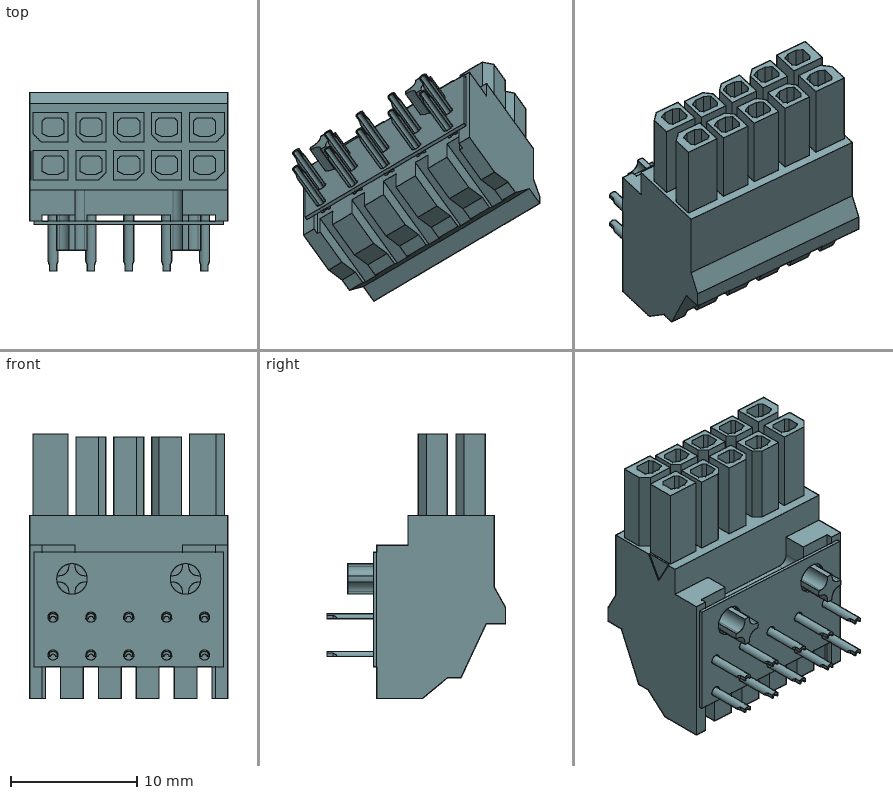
import cadquery as cq
import math


PITCH = 3.0
COLUMNS = [-2 * PITCH, -PITCH, 0, PITCH, 2 * PITCH]

BODY_WIDTH = 15.7
BODY_TOP = 14.51
SHOULDER_Z = 12.15
SHOULDER_Y = 2.48
BACK_Y = 9.33
LATCH_Y = 10.22
LATCH_TOP = 8.82
LATCH_EDGE_TOP = 7.22
LATCH_BOTTOM = 5.92
SLOPE_TOP_Y = 8.69
SLOPE_BOTTOM_Y = 6.68
HEEL_Y = 5.6
HEEL_Z = 1.63
FOOT_Y = 3.64

RECESS_HALF_WIDTH = 6.86
RECESS_DEPTH = 0.49
SLOT_WIDTH = 1.18

PLATE_WIDTH = 15.04
PLATE_BOTTOM = 2.5
PLATE_TOP = 11.6
PLATE_THICKNESS = 0.27

PEG_X = 4.5
PEG_Z = 9.48
PEG_RADIUS = 1.21
PEG_LENGTH = 2.31
PEG_ARM_HALF = 0.25
PEG_FILLET = 0.75

NOTCH_HALF_WIDTH = PEG_X - PEG_ARM_HALF
NOTCH_FLOOR = PEG_Z + PEG_ARM_HALF

PIN_HOLE_RADIUS = 0.4
LOWER_PIN_Z = 3.45
PIN_HOLE_ROWS = [LOWER_PIN_Z, LOWER_PIN_Z + PITCH]
PIN_DROP = 0.13
PIN_RADIUS = 0.41
PIN_TIP_HALF_WIDTH = 0.3
PIN_CHANNEL_RADIUS = 0.2
PIN_END = 3.95
PIN_TIP_LENGTH = 0.5
PIN_TAPER_LENGTH = 0.3

REAR_ROW_Y = 7.44
FRONT_ROW_Y = REAR_ROW_Y - PITCH
TOWER_WIDTH = 2.38
TOWER_DEPTH = 2.33
OUTER_TOWER_EXTRA = 0.4
OUTER_TOWER_TOP = 20.98
INNER_TOWER_TOP = 20.74
INNER_TOWER_CHAMFER = 0.58
OUTER_TOWER_CHAMFER = 0.66
REAR_ROW_KEYS = [-1, -1, -1, -1, 1]
FRONT_ROW_KEYS = [0, 1, 1, -1, 1]

CAVITY_WIDTH = 1.75
CAVITY_LENGTH = 1.47
CAVITY_REAR_CHAMFER = 0.25
CAVITY_FRONT_CHAMFER_X = 0.5
CAVITY_FRONT_CHAMFER_Y = 0.25

MARK_Y = 4.4
MARK_WIDTH = 2.25
MARK_HEIGHT = 1.95
MARK_DEPTH = 0.1


def box(x_range, y_range, z_range):
    """Box given by its lower and upper limit along each axis."""
    sizes = [high - low for low, high in (x_range, y_range, z_range)]
    corner = (x_range[0], y_range[0], z_range[0])
    return cq.Workplane("XY").box(*sizes, centered=False).translate(corner)


def xz_plane(y):
    """Workplane at the given Y whose positive extrusion runs toward -Y."""
    return cq.Workplane("XZ", origin=(0, y, 0))


def make_housing():
    outline = [
        (0, 0),
        (0, SHOULDER_Z),
        (SHOULDER_Y, SHOULDER_Z),
        (SHOULDER_Y, BODY_TOP),
        (BACK_Y, BODY_TOP),
        (BACK_Y, LATCH_TOP),
        (LATCH_Y, LATCH_EDGE_TOP),
        (LATCH_Y, LATCH_BOTTOM),
        (SLOPE_TOP_Y, LATCH_BOTTOM),
        (SLOPE_BOTTOM_Y, HEEL_Z),
        (HEEL_Y, HEEL_Z),
        (FOOT_Y, 0),
    ]
    return cq.Workplane("YZ").polyline(outline).close().extrude(BODY_WIDTH / 2, both=True)


def make_recess():
    return box((-RECESS_HALF_WIDTH, RECESS_HALF_WIDTH), (0, RECESS_DEPTH), (0, SHOULDER_Z))


def make_notch():
    notch = box((-NOTCH_HALF_WIDTH, NOTCH_HALF_WIDTH), (0, SHOULDER_Y), (NOTCH_FLOOR, SHOULDER_Z))
    return notch.edges("|Y and <Z").fillet(PEG_FILLET)


def make_slots():
    slot = box((-SLOT_WIDTH / 2, SLOT_WIDTH / 2), (0, LATCH_Y), (0, PLATE_BOTTOM))
    slots = cq.Workplane("XY")
    for x in COLUMNS:
        slots = slots.add(slot.translate((x, 0, 0)))
    return slots.combine()


def make_mark():
    outline = [
        (MARK_Y - MARK_WIDTH / 2, BODY_TOP),
        (MARK_Y + MARK_WIDTH / 2, BODY_TOP),
        (MARK_Y, BODY_TOP - MARK_HEIGHT),
    ]
    side = cq.Workplane("YZ", origin=(-BODY_WIDTH / 2, 0, 0))
    return side.polyline(outline).close().extrude(MARK_DEPTH)


def make_plate():
    plate = box((-PLATE_WIDTH / 2, PLATE_WIDTH / 2), (-PLATE_THICKNESS, 0), (PLATE_BOTTOM, PLATE_TOP))
    hole_centres = [(x, z) for x in COLUMNS for z in PIN_HOLE_ROWS]
    holes = xz_plane(0).pushPoints(hole_centres).circle(PIN_HOLE_RADIUS).extrude(PLATE_THICKNESS)
    peg_holes = xz_plane(0).pushPoints([(-PEG_X, PEG_Z), (PEG_X, PEG_Z)])
    return plate.cut(holes).cut(peg_holes.circle(PEG_RADIUS).extrude(PLATE_THICKNESS))


def make_peg(x):
    length = RECESS_DEPTH + PEG_LENGTH
    tangent = PEG_ARM_HALF + PEG_FILLET
    flute_middle = tangent - PEG_FILLET * math.sqrt(0.5)
    base = xz_plane(RECESS_DEPTH)
    flute = (
        base.moveTo(PEG_ARM_HALF, PEG_RADIUS)
        .lineTo(PEG_ARM_HALF, tangent)
        .threePointArc((flute_middle, flute_middle), (tangent, PEG_ARM_HALF))
        .lineTo(PEG_RADIUS, PEG_ARM_HALF)
        .lineTo(PEG_RADIUS, PEG_RADIUS)
        .close()
        .extrude(length)
    )
    peg = base.circle(PEG_RADIUS).extrude(length)
    for angle in (0, 90, 180, 270):
        peg = peg.cut(flute.rotate((0, 0, 0), (0, 1, 0), angle))
    return peg.translate((x, 0, PEG_Z))


def half_round(radius, y_start, y_end):
    """Upper half of a cylinder along Y, with its flat side in Z = 0."""
    start = xz_plane(y_start).moveTo(-radius, 0)
    return start.threePointArc((0, radius), (radius, 0)).close().extrude(y_start - y_end)


def make_pin():
    tip_start = PIN_TIP_LENGTH - PIN_END
    taper_start = tip_start + PIN_TAPER_LENGTH
    right_flank = [
        (PIN_RADIUS, RECESS_DEPTH),
        (PIN_RADIUS, taper_start),
        (PIN_TIP_HALF_WIDTH, tip_start),
        (PIN_TIP_HALF_WIDTH, -PIN_END),
    ]
    left_flank = [(-x, y) for x, y in reversed(right_flank)]
    blank = cq.Workplane("XY").polyline(right_flank + left_flank).close().extrude(PIN_RADIUS)
    shank = half_round(PIN_RADIUS, RECESS_DEPTH, -PIN_END)
    channel = half_round(PIN_CHANNEL_RADIUS, RECESS_DEPTH, -PIN_END)
    return shank.intersect(blank).cut(channel)


def make_tower(x, y, key):
    outward = 0
    if x == COLUMNS[0]:
        outward = -1
    elif x == COLUMNS[-1]:
        outward = 1
    width = TOWER_WIDTH + abs(outward) * OUTER_TOWER_EXTRA
    centre_x = x + outward * OUTER_TOWER_EXTRA / 2
    top = OUTER_TOWER_TOP if outward else INNER_TOWER_TOP
    chamfer = OUTER_TOWER_CHAMFER if outward else INNER_TOWER_CHAMFER

    base = cq.Workplane("XY", origin=(centre_x, y, BODY_TOP))
    tower = base.rect(width, TOWER_DEPTH).extrude(top - BODY_TOP)
    if key:
        side = ">X" if key > 0 else "<X"
        tower = tower.faces(side).edges("|Z and <Y").chamfer(chamfer)
    return tower.cut(make_cavity(top).translate((x, y, 0)))


def make_cavity(top):
    half_x = CAVITY_WIDTH / 2
    half_y = CAVITY_LENGTH / 2
    right_side = [
        (half_x - CAVITY_FRONT_CHAMFER_X, -half_y),
        (half_x, CAVITY_FRONT_CHAMFER_Y - half_y),
        (half_x, half_y - CAVITY_REAR_CHAMFER),
        (half_x - CAVITY_REAR_CHAMFER, half_y),
    ]
    left_side = [(-x, y) for x, y in reversed(right_side)]
    floor = cq.Workplane("XY", origin=(0, 0, BODY_TOP))
    return floor.polyline(right_side + left_side).close().extrude(top - BODY_TOP)


housing = make_housing()
for pocket in (make_recess(), make_notch(), make_slots(), make_mark()):
    housing = housing.cut(pocket)

result = housing.union(make_plate())
for peg_x in (-PEG_X, PEG_X):
    result = result.union(make_peg(peg_x))

pin = make_pin()
for pin_x in COLUMNS:
    for hole_z in PIN_HOLE_ROWS:
        result = result.union(pin.translate((pin_x, 0, hole_z - PIN_DROP)))

for row_y, keys in ((REAR_ROW_Y, REAR_ROW_KEYS), (FRONT_ROW_Y, FRONT_ROW_KEYS)):
    for tower_x, tower_key in zip(COLUMNS, keys):
        result = result.union(make_tower(tower_x, row_y, tower_key))